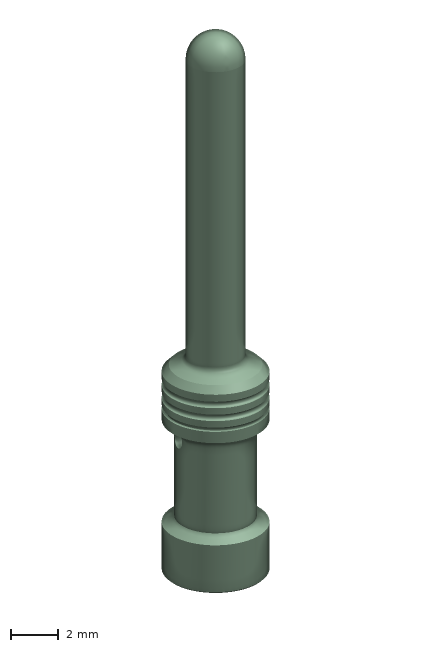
import cadquery as cq
import math

length = 25.0
flange_radius = 4.5 / 2
neck_radius = 3.45 / 2
pin_radius = 2.5 / 2
bore_radius = 2.25 / 2
inspection_radius = 0.8 / 2

collar_height = 2.25
collar_shoulder_height = 0.3
neck_top = 7.0
inspection_height = 6.4
bore_depth = 7.0
ribs_top = 9.25
base_chamfer = 0.08

shoulder_chamfer = 0.3
cone_angle = math.radians(25)
shoulder_fillet = 0.25

groove_count = 3
groove_pitch = 0.6
lowest_groove_height = 7.58
groove_radius = 0.15
end_flange_top = 7.52


def turned_body():
    """Revolve the outer profile, without grooves, about Z."""
    collar_shoulder_top = collar_height + collar_shoulder_height
    cone_radius = flange_radius - shoulder_chamfer
    cone_base = ribs_top + shoulder_chamfer
    cone_top = cone_base + (cone_radius - pin_radius) * math.tan(cone_angle)

    tangent_length = shoulder_fillet * math.tan((math.pi / 2 - cone_angle) / 2)
    cone_tangent_radius = pin_radius + tangent_length * math.cos(cone_angle)
    cone_tangent_height = cone_top - tangent_length * math.sin(cone_angle)
    fillet_top = cone_top + tangent_length
    fillet_center_radius = pin_radius + shoulder_fillet
    middle_angle = (math.pi / 2 - cone_angle) / 2
    fillet_middle = (
        fillet_center_radius - shoulder_fillet * math.cos(middle_angle),
        fillet_top - shoulder_fillet * math.sin(middle_angle),
    )

    tip_center = length - pin_radius
    tip_middle = (
        pin_radius * math.cos(math.radians(45)),
        tip_center + pin_radius * math.sin(math.radians(45)),
    )
    profile = (
        cq.Workplane("XZ")
        .lineTo(flange_radius - base_chamfer, 0)
        .lineTo(flange_radius, base_chamfer)
        .lineTo(flange_radius, collar_height)
        .lineTo(neck_radius, collar_shoulder_top)
        .lineTo(neck_radius, neck_top)
        .lineTo(flange_radius, neck_top)
        .lineTo(flange_radius, ribs_top)
        .lineTo(cone_radius, cone_base)
        .lineTo(cone_tangent_radius, cone_tangent_height)
        .threePointArc(fillet_middle, (pin_radius, fillet_top))
        .lineTo(pin_radius, tip_center)
        .threePointArc(tip_middle, (0, length))
        .close()
    )
    return profile.revolve(360, (0, 0, 0), (0, 1, 0))


def groove(height):
    """Ring of circular section centred on the flange surface."""
    section = cq.Workplane("XZ").center(flange_radius, height).circle(groove_radius)
    return section.revolve(360, (-flange_radius, 0, 0), (-flange_radius, 1, 0))


result = turned_body()

above_end_flange = (
    cq.Workplane("XY")
    .workplane(offset=end_flange_top)
    .circle(2 * flange_radius)
    .extrude(length)
)
for index in range(groove_count):
    ring = groove(lowest_groove_height + index * groove_pitch)
    result = result.cut(ring.intersect(above_end_flange))

result = result.cut(cq.Workplane("XY").circle(bore_radius).extrude(bore_depth))

inspection_hole = (
    cq.Workplane("XZ")
    .center(0, inspection_height)
    .circle(inspection_radius)
    .extrude(flange_radius)
)
result = result.cut(inspection_hole)